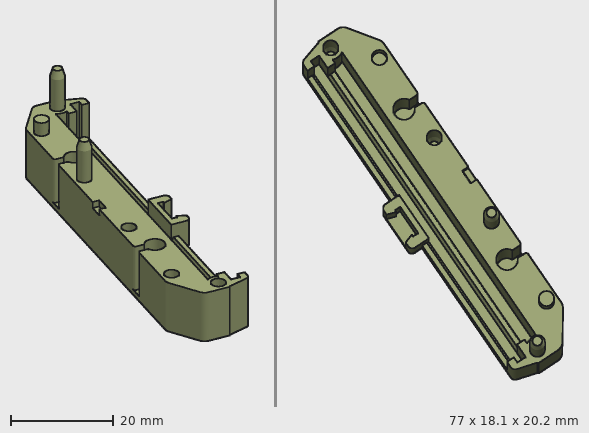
import cadquery as cq

BODY_LENGTH = 77.0
BODY_HEIGHT = 11.2
BODY_DEPTH = 15.4
HALF_LENGTH = BODY_LENGTH / 2

FRONT_CHAMFER_X = 6.9
FRONT_CHAMFER_Y = 4.85
TAPER_X = 1.6
TAPER_STEP_X = 0.2
TAPER_STEP_Y = 0.15
TAPER_START_Y = 10.4
FRONT_CORNER_RADIUS = 2.0
BACK_CORNER_RADIUS = 1.0

BASE_THICKNESS = 1.2
CHANNEL_FLOOR_Z = 2.0
BEAM_BACK_Y = 7.75
TROUGH_BACK_Y = 10.1
SHELF_BACK_Y = 11.2
CHANNEL_FRONT_Y = 11.85
CHANNEL_BACK_Y = 13.8
LIP_TOP_Y = 14.3
SHELF_Z = CHANNEL_FLOOR_Z + CHANNEL_FRONT_Y - SHELF_BACK_Y
LIP_Z = 3.0

SHELF_HALF = 33.1
CHANNEL_HALF = 36.1
LIP_HALF = 34.85

PIN_RADIUS = 1.5
PIN_TIP_RADIUS = 0.95
PIN_LENGTH = 9.0
PIN_TIP_LENGTH = 1.8
PIN_PLACES = [(36.1, 9.1), (10.0, 2.3)]
STUB_PLACE = (29.2, 2.3)
STUB_LENGTH = 3.0
PIN_WALL_RADIUS = 2.35

KEYHOLE_X = 18.0
KEYHOLE_Y = 4.05
KEYHOLE_RADIUS = 2.1
NECK_WIDTH = 1.85
MOUTH_RADIUS = 0.5

NOTCH_WIDTH = 3.0
NOTCH_DEPTH = 1.4

CLIP_WIDTH = 10.4
CLIP_BACK_Y = 18.05
CLIP_HEIGHT = 6.0
CLIP_CORNER_RADIUS = 1.0
CLIP_BOTTOM_RADIUS = 0.6
CLIP_MOUTH_HALF = 3.35
CLIP_THROAT_HALF = 2.7
CLIP_THROAT_Y = 16.15
CLIP_POCKET_HALF = 3.15
CLIP_POCKET_FRONT_Y = 14.95


def box(x_min, x_max, y_min, y_max, z_min, z_max):
    """Axis-aligned box given by its limits."""
    size = (x_max - x_min, y_max - y_min, z_max - z_min)
    return cq.Workplane("XY").box(*size, centered=False).translate((x_min, y_min, z_min))


def make_body():
    """Full-height block with the plan outline of the part."""
    corner_margin = 1.0
    taper_top = HALF_LENGTH - TAPER_X
    chamfer_end = HALF_LENGTH - FRONT_CHAMFER_X
    right_half = [
        (chamfer_end, 0),
        (HALF_LENGTH, FRONT_CHAMFER_Y),
        (HALF_LENGTH, TAPER_START_Y),
        (HALF_LENGTH - TAPER_STEP_X, TAPER_START_Y + TAPER_STEP_Y),
        (taper_top, BODY_DEPTH),
    ]
    left_half = [(-x, y) for x, y in reversed(right_half)]
    body = cq.Workplane("XY").polyline(right_half + left_half).close().extrude(BODY_HEIGHT)
    front_edges = cq.selectors.BoxSelector(
        (-BODY_LENGTH, -corner_margin, 0),
        (BODY_LENGTH, FRONT_CHAMFER_Y + corner_margin, BODY_HEIGHT),
    )
    body = body.edges("|Z").edges(front_edges).fillet(FRONT_CORNER_RADIUS)
    return body.edges("|Z").edges(">Y").fillet(BACK_CORNER_RADIUS)


def make_trough():
    """Deep trough behind the beam; its ends curve around the corner pins."""
    trough = box(-CHANNEL_HALF, CHANNEL_HALF, BEAM_BACK_Y, TROUGH_BACK_Y, BASE_THICKNESS, BODY_HEIGHT)
    pin_x, pin_y = PIN_PLACES[0]
    pin_walls = (
        cq.Workplane("XY")
        .pushPoints([(-pin_x, pin_y), (pin_x, pin_y)])
        .circle(PIN_WALL_RADIUS)
        .extrude(BODY_HEIGHT)
    )
    return trough.cut(pin_walls)


def make_channel():
    """Stepped channel: shelf above a short slope, floor, and a sloped lip at the back."""
    shelf = (
        cq.Workplane("YZ")
        .polyline([
            (TROUGH_BACK_Y, SHELF_Z),
            (SHELF_BACK_Y, SHELF_Z),
            (CHANNEL_FRONT_Y, CHANNEL_FLOOR_Z),
            (CHANNEL_FRONT_Y, BODY_HEIGHT),
            (TROUGH_BACK_Y, BODY_HEIGHT),
        ])
        .close()
        .extrude(SHELF_HALF, both=True)
    )
    floor = box(
        -CHANNEL_HALF, CHANNEL_HALF, CHANNEL_FRONT_Y, CHANNEL_BACK_Y, CHANNEL_FLOOR_Z, BODY_HEIGHT
    )
    lip = (
        cq.Workplane("YZ")
        .polyline([
            (CHANNEL_BACK_Y, CHANNEL_FLOOR_Z),
            (LIP_TOP_Y, LIP_Z),
            (BODY_DEPTH, LIP_Z),
            (BODY_DEPTH, BODY_HEIGHT),
            (CHANNEL_BACK_Y, BODY_HEIGHT),
        ])
        .close()
        .extrude(LIP_HALF, both=True)
    )
    return shelf.union(floor).union(lip)


def make_pin(length, tip_length):
    """Upright pin on the XY plane, with a conical tip when tip_length is not zero."""
    shank = length - tip_length
    profile = [(0, 0), (PIN_RADIUS, 0), (PIN_RADIUS, shank)]
    if tip_length:
        profile.append((PIN_TIP_RADIUS, length))
    profile.append((0, length))
    return cq.Workplane("XZ").polyline(profile).close().revolve(360, (0, 0, 0), (0, 1, 0))


def make_keyhole(x):
    """Round pocket opening to the front through a neck with rounded mouth corners."""
    depth = BODY_HEIGHT - BASE_THICKNESS
    half_neck = NECK_WIDTH / 2
    half_mouth = half_neck + MOUTH_RADIUS
    pocket = cq.Workplane("XY").center(0, KEYHOLE_Y).circle(KEYHOLE_RADIUS).extrude(depth)
    neck = (
        cq.Workplane("XY")
        .moveTo(-half_mouth, 0)
        .radiusArc((-half_neck, MOUTH_RADIUS), -MOUTH_RADIUS)
        .lineTo(-half_neck, KEYHOLE_Y)
        .lineTo(half_neck, KEYHOLE_Y)
        .lineTo(half_neck, MOUTH_RADIUS)
        .radiusArc((half_mouth, 0), -MOUTH_RADIUS)
        .close()
        .extrude(depth)
    )
    return pocket.union(neck).translate((x, 0, BASE_THICKNESS))


def make_clip():
    """Block on the back with rounded outer edges."""
    half = CLIP_WIDTH / 2
    clip = box(-half, half, CHANNEL_BACK_Y, CLIP_BACK_Y, 0, CLIP_HEIGHT)
    side_rounded = clip.faces("<Z").edges("|Y").fillet(CLIP_BOTTOM_RADIUS)
    corner_rounded = clip.edges("|Z").edges(">Y").fillet(CLIP_CORNER_RADIUS)
    return side_rounded.intersect(corner_rounded)


def make_clip_pocket():
    """Pocket in the clip, open to the back through a narrowing mouth."""
    right_half = [
        (CLIP_POCKET_HALF, CLIP_POCKET_FRONT_Y),
        (CLIP_POCKET_HALF, CLIP_THROAT_Y),
        (CLIP_THROAT_HALF, CLIP_THROAT_Y),
        (CLIP_MOUTH_HALF, CLIP_BACK_Y),
    ]
    left_half = [(-x, y) for x, y in reversed(right_half)]
    pocket = cq.Workplane("XY").workplane(offset=BASE_THICKNESS).polyline(right_half + left_half)
    return pocket.close().extrude(CLIP_HEIGHT)


def make_keyholes():
    """Both keyhole slots."""
    return make_keyhole(-KEYHOLE_X).union(make_keyhole(KEYHOLE_X))


def make_notch():
    """Small pocket in the middle of the front top edge."""
    half = NOTCH_WIDTH / 2
    return box(-half, half, 0, NOTCH_DEPTH, BODY_HEIGHT - NOTCH_DEPTH, BODY_HEIGHT)


def add_pegs_and_sockets(part):
    """Add pegs on the left of the top face and matching blind holes on the right."""
    pegs = [(place, PIN_LENGTH, PIN_TIP_LENGTH) for place in PIN_PLACES]
    pegs.append((STUB_PLACE, STUB_LENGTH, 0))
    for (x, y), length, tip_length in pegs:
        peg = make_pin(length, tip_length)
        socket = peg.rotate((0, 0, 0), (1, 0, 0), 180)
        part = part.union(peg.translate((-x, y, BODY_HEIGHT)))
        part = part.cut(socket.translate((x, y, BODY_HEIGHT)))
    return part


body = make_body().cut(make_trough()).cut(make_channel())
with_clip = body.union(make_clip()).cut(make_clip_pocket())
slotted = with_clip.cut(make_keyholes()).cut(make_notch())
result = add_pegs_and_sockets(slotted)